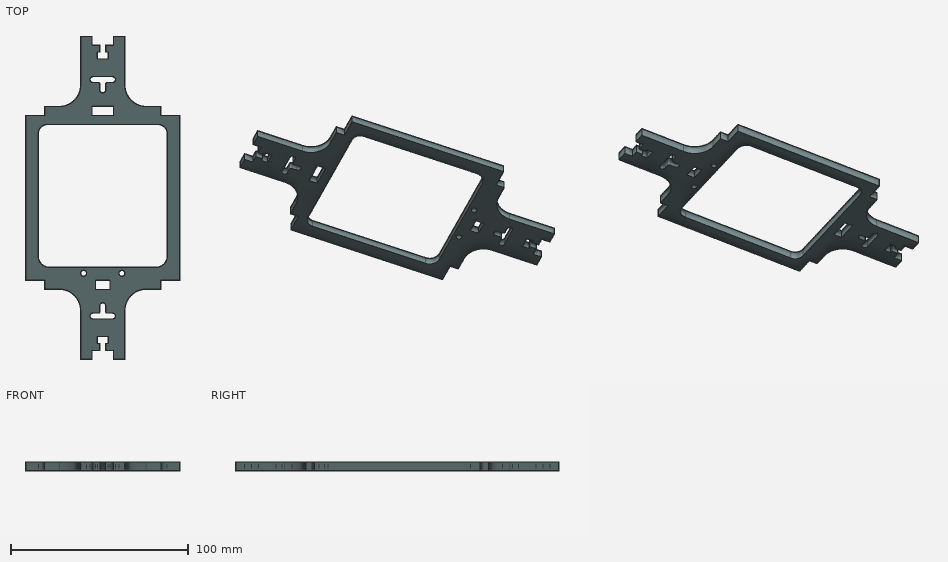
import cadquery as cq

thickness = 5.0
tab_depth = thickness
overall_length = 182.0

body_width = 87.0
body_length = 93.0
shoulder_width = 65.5
shoulder_y = body_length / 2 + tab_depth

side_wall = 7.25
top_wall = 5.25
bottom_wall = 7.5
upper_window_radius = 5.0
lower_window_radius = 6.0

arm_width = 25.0
arm_fillet_radius = 12.0
arm_end_y = overall_length / 2

notch_width = 12.0
screw_slot_width = 3.2
nut_width = 6.0
nut_start = 9.0
nut_end = 12.8

tee_width = 14.2
tee_bar_height = 3.2
tee_bar_start = 22.8
tee_stem_end = 31.8
tee_stem_width = 3.2
tee_inner_radius = 1.0

upper_tab_width = 12.0
lower_tab_width = 8.0

hole_diameter = 3.2
hole_spacing = 21.5
hole_edge_distance = 4.0


def block(width, y_start, y_end):
    """Full-thickness block centred on X = 0, between two Y positions."""
    return (
        cq.Workplane("XY")
        .center(0, (y_start + y_end) / 2)
        .rect(width, y_end - y_start)
        .extrude(thickness)
    )


def make_outline():
    """Body, shoulders and arms, with the arms blended into the shoulders."""
    cross = block(shoulder_width, -shoulder_y, shoulder_y)
    cross = cross.union(block(arm_width, -arm_end_y, arm_end_y))
    pick_margin = 1.0
    for side in (-1, 1):
        for end in (-1, 1):
            picker = cq.selectors.BoxSelector(
                (side * arm_width / 2 - pick_margin, end * shoulder_y - pick_margin, 0),
                (side * arm_width / 2 + pick_margin, end * shoulder_y + pick_margin, thickness),
            )
            cross = cross.edges(picker).edges("|Z").fillet(arm_fillet_radius)
    return cross.union(block(body_width, -body_length / 2, body_length / 2))


def make_window():
    """Rounded rectangular opening of the frame."""
    window = block(
        body_width - 2 * side_wall,
        -body_length / 2 + bottom_wall,
        body_length / 2 - top_wall,
    )
    window = window.faces(">Y").edges("|Z").fillet(upper_window_radius)
    return window.faces("<Y").edges("|Z").fillet(lower_window_radius)


def make_end_notch():
    """Notch, screw slot and nut pocket at the +Y arm end."""
    notch = block(notch_width, arm_end_y - tab_depth, arm_end_y)
    screw_slot = block(screw_slot_width, arm_end_y - nut_end, arm_end_y)
    nut_pocket = block(nut_width, arm_end_y - nut_end, arm_end_y - nut_start)
    return notch.union(screw_slot).union(nut_pocket)


def make_tee_slot():
    """T slot of the +Y arm: round-ended bar with a stem toward the body."""
    bar_top_y = arm_end_y - tee_bar_start
    bar_centre_y = bar_top_y - tee_bar_height / 2
    bar_bottom_y = bar_top_y - tee_bar_height
    bar = (
        cq.Workplane("XY")
        .center(0, bar_centre_y)
        .slot2D(tee_width, tee_bar_height)
        .extrude(thickness)
    )
    tip_centre_y = arm_end_y - tee_stem_end + tee_stem_width / 2
    stem = block(tee_stem_width, tip_centre_y, bar_centre_y)
    stem_tip = (
        cq.Workplane("XY")
        .center(0, tip_centre_y)
        .circle(tee_stem_width / 2)
        .extrude(thickness)
    )
    tee = bar.union(stem).union(stem_tip)
    inner_corners = cq.selectors.BoxSelector(
        (-tee_stem_width, bar_bottom_y - tee_inner_radius, 0),
        (tee_stem_width, bar_bottom_y + tee_inner_radius, thickness),
    )
    return tee.edges(inner_corners).edges("|Z").fillet(tee_inner_radius)


def make_mounting_holes():
    """Pair of round holes beside the lower tab slot."""
    hole_y = -body_length / 2 + hole_edge_distance
    return (
        cq.Workplane("XY")
        .pushPoints([(-hole_spacing / 2, hole_y), (hole_spacing / 2, hole_y)])
        .circle(hole_diameter / 2)
        .extrude(thickness)
    )


plate = make_outline().cut(make_window())
for arm_cut in (make_end_notch(), make_tee_slot()):
    plate = plate.cut(arm_cut).cut(arm_cut.mirror("XZ"))
plate = plate.cut(block(upper_tab_width, body_length / 2, shoulder_y))
plate = plate.cut(block(lower_tab_width, -shoulder_y, -body_length / 2))
plate = plate.cut(make_mounting_holes())

result = plate